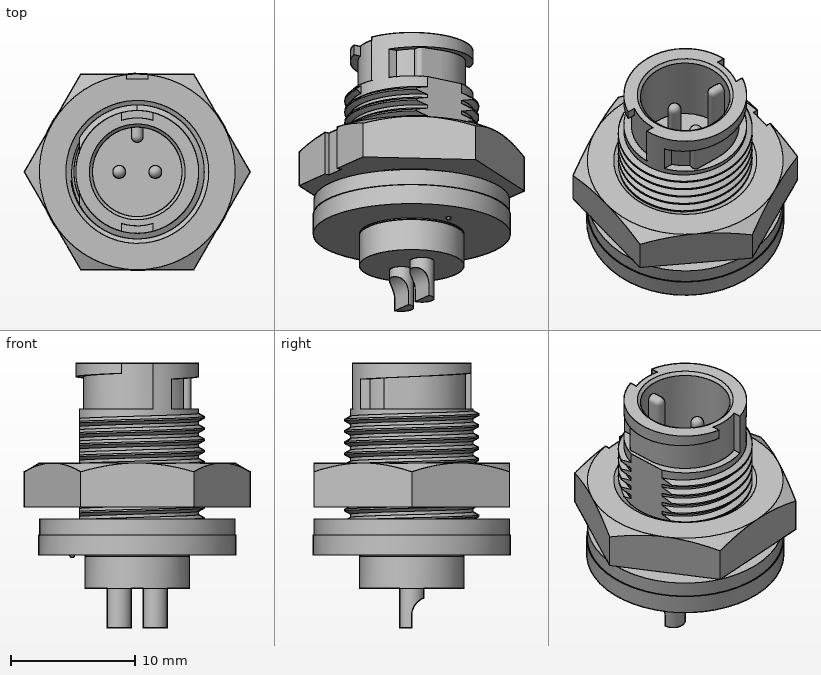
import cadquery as cq
import math


CONTACT_BOTTOM_Z = -5.84
TAIL_BOTTOM_Z = -2.68
FLANGE_HEIGHT = 1.62
RING_HEIGHT = 1.29
RING_TOP_Z = FLANGE_HEIGHT + RING_HEIGHT
SHOULDER_Z = 11.77
TOP_Z = 15.45
BORE_FLOOR_Z = 9.0

FLANGE_RADIUS = 7.94
RING_RADIUS = 7.87
TAIL_RADIUS = 4.21
TAIL_GROOVE_HEIGHT = 0.11
TAIL_GROOVE_DEPTH = 0.08
DIMPLE_RADIUS = 0.2
DIMPLE_X = -5.23

NECK_RADIUS = 4.94
THREAD_RADIUS = 5.39
THREAD_PITCH = 0.905
THREAD_BASE_WIDTH = 0.64
THREAD_CREST_WIDTH = 0.13
THREAD_TURNS = 10
THREAD_END_Z = 11.31
THREAD_END_ANGLE = 90
THREAD_ROOT_OVERLAP = 0.1
NECK_FLAT_X = -4.65

COLLAR_RADIUS = NECK_RADIUS
BARREL_RADIUS = 4.34
SLOT_HALF_WIDTH = 1.26
STOP_OUTER_X = 2.74
RAMP_LOW_Z = 14.15
RAMP_HIGH_Z = 14.63
RAMP_OVERRUN = 8
WINDOW_MARGIN = 0.2
DETENT_START_Y = 2.25
DETENT_CORNER_RADIUS = 0.36

BORE_RADIUS = 3.6
BORE_CHAMFER = 0.25
KEY_RADIUS = 0.48
KEY_NOSE_Y = 2.85
KEY_AXIS_Z = 13.76
CONTACT_SPACING = 2.9
PIN_RADIUS = 0.52
PIN_DOME_Z = 12.31
TERMINAL_RADIUS = 0.98
TERMINAL_CUT_Z = -4.87
TERMINAL_CUT_RADIUS = 1.52

NUT_CORNER_DIAMETER = 18.18
NUT_FLAT_RADIUS = NUT_CORNER_DIAMETER / 2 * math.cos(math.pi / 6)
NUT_BOTTOM_Z = 3.86
NUT_HEIGHT = 3.55
NUT_TOP_Z = NUT_BOTTOM_Z + NUT_HEIGHT
NUT_BEVEL_ANGLE = 30
NUT_BORE_RADIUS = 5.09
NUT_MOUTH_RADIUS = 5.75
NUT_NOTCH_WIDTH = 1.74
NUT_NOTCH_DEPTH = 0.41


def cylinder(radius, bottom, top, x=0, y=0):
    return cq.Workplane("XY", origin=(x, y, bottom)).circle(radius).extrude(top - bottom)


def box(x_range, y_range, z_range):
    """Box between the given pairs of limits."""
    (x0, x1), (y0, y1), (z0, z1) = x_range, y_range, z_range
    return cq.Workplane("XY").box(x1 - x0, y1 - y0, z1 - z0, centered=False).translate((x0, y0, z0))


def helical_sweep(section, lead, turns, start_z, start_angle):
    """Right-handed sweep of a closed (radius, height) outline about the Z axis."""
    path = cq.Wire.makeHelix(lead, lead * turns, NECK_RADIUS)
    swept = cq.Workplane("XZ").polyline(section).close().sweep(cq.Workplane(path), isFrenet=True)
    return swept.rotate((0, 0, 0), (0, 0, 1), start_angle).translate((0, 0, start_z))


def thread_ridge():
    """Trapezoidal ridge that sinks a little into the neck and runs out inside the flange ring."""
    root = NECK_RADIUS - THREAD_ROOT_OVERLAP
    flank_run = (THREAD_BASE_WIDTH - THREAD_CREST_WIDTH) / 2
    slope = flank_run / (THREAD_RADIUS - NECK_RADIUS)
    half_crest = THREAD_CREST_WIDTH / 2
    half_root = THREAD_BASE_WIDTH / 2 + slope * THREAD_ROOT_OVERLAP
    section = [
        (root, -half_root),
        (THREAD_RADIUS, -half_crest),
        (THREAD_RADIUS, half_crest),
        (root, half_root),
    ]
    start_z = THREAD_END_Z - THREAD_TURNS * THREAD_PITCH
    return helical_sweep(section, THREAD_PITCH, THREAD_TURNS, start_z, THREAD_END_ANGLE)


def flange_and_tail():
    groove_z = -TAIL_GROOVE_HEIGHT
    groove_radius = TAIL_RADIUS - TAIL_GROOVE_DEPTH
    outline = [
        (0, TAIL_BOTTOM_Z),
        (TAIL_RADIUS, TAIL_BOTTOM_Z),
        (TAIL_RADIUS, groove_z),
        (groove_radius, groove_z),
        (TAIL_RADIUS, 0),
        (FLANGE_RADIUS, 0),
        (FLANGE_RADIUS, FLANGE_HEIGHT),
        (RING_RADIUS, FLANGE_HEIGHT),
        (RING_RADIUS, RING_TOP_Z),
        (0, RING_TOP_Z),
    ]
    turned = cq.Workplane("XZ").polyline(outline).close().revolve(360, (0, 0), (0, 1))
    dimple = cq.Workplane("XY").sphere(DIMPLE_RADIUS).translate((DIMPLE_X, 0, 0))
    return turned.union(dimple)


def threaded_neck():
    neck = cylinder(NECK_RADIUS, FLANGE_HEIGHT, SHOULDER_Z).union(thread_ridge())
    beyond_flat = box(
        (-2 * THREAD_RADIUS, NECK_FLAT_X),
        (-THREAD_RADIUS, THREAD_RADIUS),
        (RING_TOP_Z, SHOULDER_Z),
    )
    return neck.cut(beyond_flat)


def bayonet_window():
    """Gap on the +X side below the ramped rim, from the stop by the -Y slot round to the +Y slot."""
    stop_angle = math.degrees(math.asin(STOP_OUTER_X / COLLAR_RADIUS)) - 90
    slot_angle = 90 - math.degrees(math.asin(SLOT_HALF_WIDTH / COLLAR_RADIUS))
    lead = (RAMP_HIGH_Z - RAMP_LOW_Z) * 360 / (slot_angle - stop_angle)
    turns = (slot_angle - stop_angle + 2 * RAMP_OVERRUN) / 360
    start_z = RAMP_LOW_Z - lead * RAMP_OVERRUN / 360
    inner = BARREL_RADIUS - WINDOW_MARGIN
    outer = COLLAR_RADIUS + WINDOW_MARGIN
    floor = SHOULDER_Z - TOP_Z
    section = [(inner, floor), (outer, floor), (outer, 0), (inner, 0)]
    window = helical_sweep(section, lead, turns, start_z, stop_angle - RAMP_OVERRUN)
    stop = box((0, STOP_OUTER_X), (-2 * COLLAR_RADIUS, 0), (0, TOP_Z))
    return window.cut(stop)


def detent():
    """Bump on the +X side of the barrel with one rounded corner."""
    inner_x = math.sqrt(BARREL_RADIUS**2 - DETENT_START_Y**2)
    bump = box((inner_x, BARREL_RADIUS), (-DETENT_START_Y, 0), (SHOULDER_Z, RAMP_HIGH_Z))
    return bump.edges("|Z and >X and <Y").fillet(DETENT_CORNER_RADIUS)


def bayonet_collar():
    collar = cylinder(COLLAR_RADIUS, SHOULDER_Z, TOP_Z)
    slots = box(
        (-SLOT_HALF_WIDTH, SLOT_HALF_WIDTH),
        (-COLLAR_RADIUS, COLLAR_RADIUS),
        (SHOULDER_Z, TOP_Z),
    )
    collar = collar.cut(slots)
    for angle in (0, 180):
        collar = collar.cut(bayonet_window().rotate((0, 0, 0), (0, 0, 1), angle))
    collar = collar.union(cylinder(BARREL_RADIUS, SHOULDER_Z, TOP_Z))
    for angle in (0, 180):
        collar = collar.union(detent().rotate((0, 0, 0), (0, 0, 1), angle))
    return collar


def bore():
    mouth_radius = BORE_RADIUS + BORE_CHAMFER
    outline = [
        (0, BORE_FLOOR_Z),
        (BORE_RADIUS, BORE_FLOOR_Z),
        (BORE_RADIUS, TOP_Z - BORE_CHAMFER),
        (mouth_radius, TOP_Z),
        (0, TOP_Z),
    ]
    return cq.Workplane("XZ").polyline(outline).close().revolve(360, (0, 0), (0, 1))


def key():
    """Rib on the +Y bore wall with a round nose and a round top."""
    wall_y = (BORE_RADIUS + BARREL_RADIUS) / 2
    nose = cylinder(KEY_RADIUS, BORE_FLOOR_Z, KEY_AXIS_Z, y=KEY_NOSE_Y)
    web = box((-KEY_RADIUS, KEY_RADIUS), (KEY_NOSE_Y, wall_y), (BORE_FLOOR_Z, KEY_AXIS_Z))
    top = cq.Workplane("XZ", origin=(0, wall_y, KEY_AXIS_Z)).circle(KEY_RADIUS)
    top = top.extrude(wall_y - KEY_NOSE_Y)
    tip = cq.Workplane("XY").sphere(KEY_RADIUS).translate((0, KEY_NOSE_Y, KEY_AXIS_Z))
    return nose.union(web).union(top).union(tip)


def contact(x):
    """Domed pin inside the bore and a half-round solder terminal below the tail."""
    pin = cylinder(PIN_RADIUS, BORE_FLOOR_Z, PIN_DOME_Z, x=x)
    dome = cq.Workplane("XY").sphere(PIN_RADIUS).translate((x, 0, PIN_DOME_Z))
    terminal = cylinder(TERMINAL_RADIUS, CONTACT_BOTTOM_Z, TAIL_BOTTOM_Z, x=x)
    x_range = (x - TERMINAL_RADIUS, x + TERMINAL_RADIUS)
    start_depth = math.sqrt(TERMINAL_CUT_RADIUS**2 - (TERMINAL_CUT_RADIUS - TERMINAL_RADIUS) ** 2)
    middle = math.pi - math.asin(start_depth / TERMINAL_CUT_RADIUS) / 2
    cut_away = (
        cq.Workplane("YZ", origin=(x_range[0], 0, 0))
        .moveTo(0, CONTACT_BOTTOM_Z)
        .lineTo(0, TERMINAL_CUT_Z)
        .threePointArc(
            (
                TERMINAL_CUT_RADIUS * (1 + math.cos(middle)),
                TERMINAL_CUT_Z + TERMINAL_CUT_RADIUS * math.sin(middle),
            ),
            (TERMINAL_RADIUS, TERMINAL_CUT_Z + start_depth),
        )
        .lineTo(TERMINAL_RADIUS, CONTACT_BOTTOM_Z)
        .close()
        .extrude(2 * TERMINAL_RADIUS)
    )
    return [pin.union(dome), terminal.cut(cut_away)]


def make_connector():
    body = flange_and_tail().union(threaded_neck()).union(bayonet_collar()).cut(bore()).union(key())
    for x in (-CONTACT_SPACING / 2, CONTACT_SPACING / 2):
        for piece in contact(x):
            body = body.union(piece)
    return body


def make_nut():
    corner_radius = NUT_CORNER_DIAMETER / 2
    blank = cq.Workplane("XY", origin=(0, 0, NUT_BOTTOM_Z)).polygon(6, NUT_CORNER_DIAMETER)
    blank = blank.extrude(NUT_HEIGHT)

    bevel_slope = math.tan(math.radians(NUT_BEVEL_ANGLE))
    bevel_drop = (corner_radius - NUT_FLAT_RADIUS) * bevel_slope
    outline = [
        (0, NUT_BOTTOM_Z),
        (corner_radius, NUT_BOTTOM_Z),
        (corner_radius, NUT_TOP_Z - bevel_drop),
        (NUT_FLAT_RADIUS, NUT_TOP_Z),
        (NUT_MOUTH_RADIUS, NUT_TOP_Z),
        (0, NUT_TOP_Z - NUT_MOUTH_RADIUS * bevel_slope),
    ]
    envelope = cq.Workplane("XZ").polyline(outline).close().revolve(360, (0, 0), (0, 1))

    notch = box(
        (-NUT_NOTCH_WIDTH / 2, NUT_NOTCH_WIDTH / 2),
        (NUT_FLAT_RADIUS - NUT_NOTCH_DEPTH, corner_radius),
        (NUT_BOTTOM_Z, NUT_TOP_Z),
    )
    tapped_bore = cylinder(NUT_BORE_RADIUS, RING_TOP_Z, SHOULDER_Z).union(thread_ridge())
    return blank.intersect(envelope).cut(notch).cut(tapped_bore)


connector = make_connector()
nut = make_nut()

result = cq.Compound.makeCompound([connector.solids().val(), nut.solids().val()])